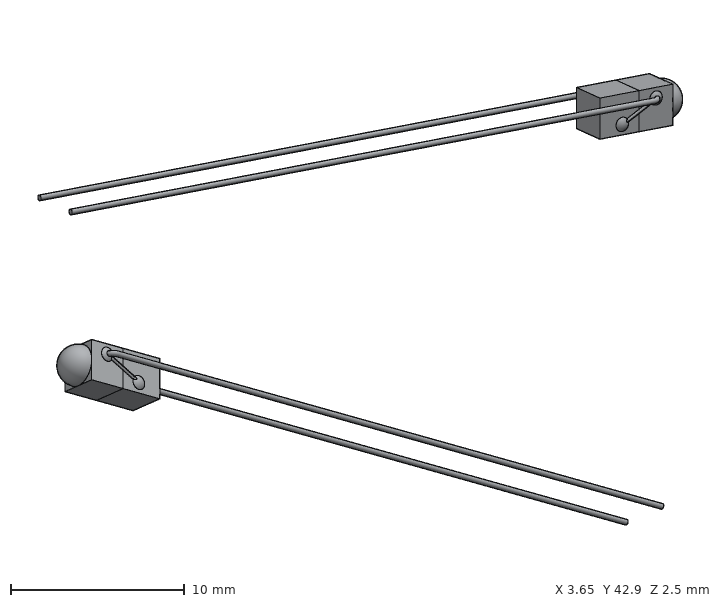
import cadquery as cq
import math

width = 2.5
block_length = 2.3
plate_length = 0.4
total_length = 42.85

dome_radius = width / 2
side = width / 2
joint_y = -block_length
rear_end_y = joint_y - block_length - plate_length

dot_diameter = 0.85
dot_height = 0.17
dot_offset_z = 0.6
front_dot_y = -block_length / 2
rear_dot_y = joint_y - block_length / 2

lead_radius = 0.17
lead_span = 3.65
lead_x = lead_span / 2 - lead_radius
lead_bend = lead_x - side
lead_end_y = dome_radius - total_length

jumper_radius = 0.107


def block(front_y, rear_y):
    """Square block between two Y positions, centred on the Y axis."""
    return cq.Workplane("XZ", origin=(0, front_y, 0)).rect(width, width).extrude(front_y - rear_y)


def dome():
    """Half ball in front of the front block."""
    half_ball = cq.Solid.makeSphere(dome_radius, angleDegrees1=0, angleDegrees2=90)
    return cq.Workplane(half_ball).rotate((0, 0, 0), (1, 0, 0), -90)


def solder_dot(sign, y, z):
    """Ball cap on the side face at X = sign * side."""
    dot_radius = dot_diameter / 2
    cap = (
        cq.Workplane("XY")
        .lineTo(dot_radius, 0)
        .radiusArc((0, dot_height), -(dot_radius**2 + dot_height**2) / (2 * dot_height))
        .close()
        .revolve(360, (0, 0, 0), (0, 1, 0))
    )
    return cap.rotate((0, 0, 0), (0, 0, 1), -90 * sign).translate((sign * side, y, z))


def lead(sign):
    """Bent wire that starts on the side face at X = sign * side."""
    bend_middle = (
        sign * (side + lead_bend * math.sin(math.pi / 4)),
        front_dot_y - lead_bend * (1 - math.cos(math.pi / 4)),
    )
    path = (
        cq.Workplane("XY", origin=(0, 0, dot_offset_z))
        .moveTo(sign * side, front_dot_y)
        .threePointArc(bend_middle, (sign * lead_x, front_dot_y - lead_bend))
        .lineTo(sign * lead_x, lead_end_y)
    )
    start = cq.Workplane("YZ", origin=(sign * side, front_dot_y, dot_offset_z))
    return start.circle(lead_radius).sweep(path)


def jumper(sign):
    """Half-round wire on the side face, from the middle of the front dot to the edge of the rear dot."""
    start = cq.Vector(sign * side, front_dot_y, dot_offset_z)
    run = cq.Vector(sign * side, rear_dot_y, -dot_offset_z) - start
    wire = cq.Workplane(cq.Solid.makeCylinder(jumper_radius, run.Length, start, run))
    return wire.cut(block(0, rear_end_y)).cut(solder_dot(sign, rear_dot_y, -dot_offset_z))


front_block = block(0, joint_y).union(dome())
rear_block = block(joint_y, rear_end_y)
for sign in (-1, 1):
    front_block = (
        front_block.union(solder_dot(sign, front_dot_y, dot_offset_z))
        .union(jumper(sign))
        .union(lead(sign))
    )
    rear_block = rear_block.union(solder_dot(sign, rear_dot_y, -dot_offset_z))

result = cq.Compound.makeCompound([front_block.solids().val(), rear_block.solids().val()])